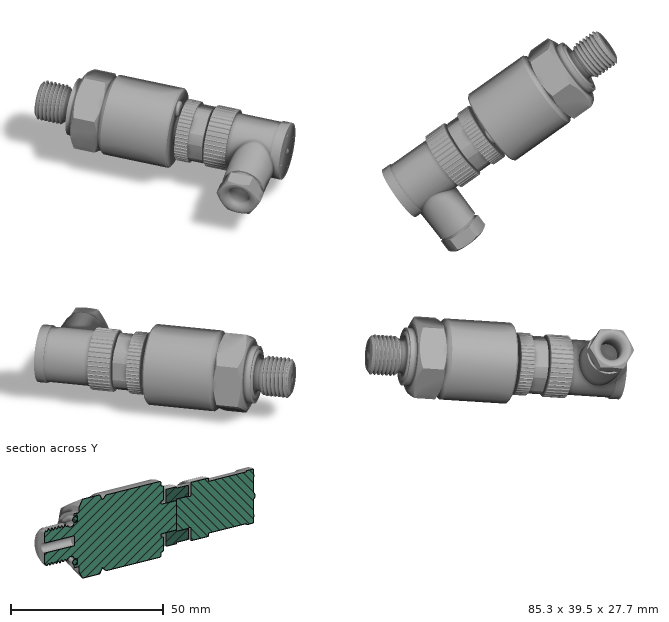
import cadquery as cq
import math


THREAD_MAJOR_D = 13.157
THREAD_MINOR_D = 11.445
THREAD_PITCH = 1.337
THREAD_CREST_WIDTH = 0.2
THREAD_FLANK_HALF_ANGLE = 27.5
THREAD_GROOVE_OVERCUT = 0.1
THREAD_TIP_D = 10.74
THREAD_TIP_CHAMFER_LENGTH = 0.9
THREAD_FULL_END_X = 8.7
THREAD_GROOVE_X = 1.63
THREAD_LEAD_TURNS = 2
THREAD_RUN_OUT = 0.2
RELIEF_D = 10.5
RELIEF_X = 10.1
PORT_D = 3.3
PORT_DEPTH = 12.0

FLANGE_D = 19.0
FLANGE_X = 11.8
NECK_FILLET = 0.88
O_RING_CORD_D = 2.0
O_RING_MEAN_D = 14.9
O_RING_PROTRUSION = 0.5
O_RING_OUTER_D = O_RING_MEAN_D + O_RING_CORD_D
O_RING_INNER_D = O_RING_MEAN_D - O_RING_CORD_D

HEX_FLATS = 24.0
HEX_X = 13.95
HEX_END_X = 23.5
HEX_FRONT_FACE_D = 22.8
HEX_BACK_FACE_D = 23.8
HEX_CHAMFER_ANGLE = 30.0
CASE_D = 26.6
CASE_END_X = 47.2
CASE_FRONT_CHAMFER = (CASE_D - HEX_BACK_FACE_D) / 2
CASE_END_CHAMFER = 0.5
SCREW_HEAD_D = 5.4
SCREW_HEAD_HEIGHT = 1.1
SCREW_HEAD_ROUND = 0.8
SCREW_OFFSET = 8.85
CASE_NECK_D = 10.5

NUT_X = 49.1
NUT_KNURL_END_X = 53.45
NUT_END_X = 58.25
NUT_FLATS = 18.0
NUT_HEX_D = 19.0
NUT_RIDGES = 50

KNURL_TIP_D = 20.5
RIDGE_HEIGHT = 0.25
RIDGE_WIDTH = 0.5
KNURL_BASE_D = KNURL_TIP_D - 2 * RIDGE_HEIGHT

SPIGOT_D = 11.04
COLLAR_X = 59.1
COLLAR_END_X = 66.5
COLLAR_RIDGES = 40
ELBOW_D = 18.2
CAP_X = 81.5
CAP_END_X = 84.65
CAP_D = 19.0
CENTRE_DOME_D = 2.1
CENTRE_DOME_HEIGHT = 0.61
NUB_D = 0.8
NUB_HEIGHT = 0.25
NUB_OFFSET = 6.95
NUB_COUNT = 4

BRANCH_X = 75.7
BRANCH_D = 14.45
BRANCH_END_D = 14.1
BRANCH_TAPER_Y = -ELBOW_D / 2
BRANCH_END_Y = -20.15
GLAND_NECK_D = 12.9
GLAND_Y = -21.15
GLAND_END_Y = -26.15
GLAND_FLATS = 13.0
GLAND_FACE_D = 12.15
GLAND_MOUTH_D = 11.45
CABLE_HOLE_D = 7.0
CABLE_HOLE_DEPTH = 8.0


def corners(flats):
    """Across-corners size of a hexagon with the given across-flats size."""
    return flats / math.cos(math.radians(30))


def disc(diameter, start, end):
    """Cylinder on the X axis between two x positions."""
    return cq.Workplane("YZ").workplane(offset=start).circle(diameter / 2).extrude(end - start)


def hexagon(flats, start, end):
    """Hexagonal prism on the X axis with flats facing +Y and -Y."""
    prism = cq.Workplane("YZ").workplane(offset=start).polygon(6, corners(flats)).extrude(end - start)
    return prism.rotate((0, 0, 0), (1, 0, 0), 90)


def turned(profile):
    """Revolve a list of (x, radius) points about the X axis."""
    return cq.Workplane("XY").polyline(profile).close().revolve(360, (0, 0, 0), (1, 0, 0))


def dome(base_diameter, height, x, y=0, z=0):
    """Spherical cap standing on a plane at x, bulging toward +X."""
    radius = base_diameter / 2
    return (
        cq.Workplane("XY")
        .lineTo(0, radius)
        .threePointArc(cap_midpoint(radius, height), (height, 0))
        .close()
        .revolve(360, (0, 0, 0), (1, 0, 0))
        .translate((x, y, z))
    )


def cap_midpoint(radius, height):
    """A point halfway along the arc of a spherical cap, as (height, radius)."""
    sphere = (radius**2 + height**2) / (2 * height)
    half_angle = math.asin(radius / sphere) / 2
    return (height - sphere * (1 - math.cos(half_angle)), sphere * math.sin(half_angle))


def knurled_band(ridge_count, start, end):
    """Cylinder with evenly spaced triangular ridges running along X."""
    band = disc(KNURL_BASE_D, start, end)
    foot = math.sqrt((KNURL_BASE_D / 2) ** 2 - (RIDGE_WIDTH / 2) ** 2)
    ridge = (
        cq.Workplane("YZ")
        .workplane(offset=start)
        .moveTo(KNURL_BASE_D / 2 - 2 * RIDGE_HEIGHT, 0)
        .lineTo(foot, -RIDGE_WIDTH / 2)
        .lineTo(KNURL_TIP_D / 2, 0)
        .lineTo(foot, RIDGE_WIDTH / 2)
        .close()
        .extrude(end - start)
        .val()
    )
    ridges = [
        ridge.rotate(cq.Vector(0, 0, 0), cq.Vector(1, 0, 0), i * 360 / ridge_count)
        for i in range(ridge_count)
    ]
    return cq.Workplane(band.val().fuse(*ridges))


def threaded_stud():
    """Cylinder with a helical thread groove, a tip chamfer and a run-out cone."""
    minor_r = THREAD_MINOR_D / 2
    major_r = THREAD_MAJOR_D / 2
    flank_slope = math.tan(math.radians(THREAD_FLANK_HALF_ANGLE))
    mouth_half = (THREAD_PITCH - THREAD_CREST_WIDTH) / 2
    root_half = mouth_half - (major_r - minor_r) * flank_slope
    outer_half = mouth_half + THREAD_GROOVE_OVERCUT * flank_slope

    start = THREAD_GROOVE_X - THREAD_LEAD_TURNS * THREAD_PITCH
    length = RELIEF_X + THREAD_RUN_OUT - start
    helix = cq.Wire.makeHelix(THREAD_PITCH, length, minor_r)
    groove = (
        cq.Workplane("XZ")
        .polyline(
            [
                (minor_r, -root_half),
                (major_r + THREAD_GROOVE_OVERCUT, -outer_half),
                (major_r + THREAD_GROOVE_OVERCUT, outer_half),
                (minor_r, root_half),
            ]
        )
        .close()
        .sweep(cq.Workplane(helix), isFrenet=True)
        .rotate((0, 0, 0), (0, 1, 0), 90)
        .translate((start, 0, 0))
    )
    envelope = turned(
        [
            (0, 0),
            (0, THREAD_TIP_D / 2),
            (THREAD_TIP_CHAMFER_LENGTH, major_r),
            (THREAD_FULL_END_X, major_r),
            (RELIEF_X, RELIEF_D / 2),
            (RELIEF_X, 0),
        ]
    )
    return disc(THREAD_MAJOR_D, 0, RELIEF_X).cut(groove).intersect(envelope)


def filleted_neck():
    """Thread relief neck that sweeps out into the flange face in a concave quarter round."""
    neck_r = RELIEF_D / 2
    arc_step = NECK_FILLET * math.sin(math.radians(45))
    arc_start_x = FLANGE_X - NECK_FILLET
    return (
        cq.Workplane("XY")
        .moveTo(RELIEF_X, 0)
        .lineTo(RELIEF_X, neck_r)
        .lineTo(arc_start_x, neck_r)
        .threePointArc(
            (arc_start_x + arc_step, neck_r + NECK_FILLET - arc_step),
            (FLANGE_X, neck_r + NECK_FILLET),
        )
        .lineTo(FLANGE_X, 0)
        .close()
        .revolve(360, (0, 0, 0), (1, 0, 0))
    )


def housing_hexagon():
    """Spanner hexagon with corners chamfered at both ends."""
    corner_r = corners(HEX_FLATS) / 2
    slope = math.tan(math.radians(HEX_CHAMFER_ANGLE))
    front_r = HEX_FRONT_FACE_D / 2
    back_r = HEX_BACK_FACE_D / 2
    envelope = turned(
        [
            (HEX_X, 0),
            (HEX_X, front_r),
            (HEX_X + (corner_r - front_r) * slope, corner_r),
            (HEX_END_X - (corner_r - back_r) * slope, corner_r),
            (HEX_END_X, back_r),
            (HEX_END_X, 0),
        ]
    )
    return hexagon(HEX_FLATS, HEX_X, HEX_END_X).intersect(envelope)


def screw_head(z):
    """Rounded screw head on the rear face of the case."""
    return (
        disc(SCREW_HEAD_D, CASE_END_X, CASE_END_X + SCREW_HEAD_HEIGHT)
        .faces(">X")
        .edges()
        .fillet(SCREW_HEAD_ROUND)
        .translate((0, 0, z))
    )


def make_housing():
    case_r = CASE_D / 2
    case = turned(
        [
            (HEX_END_X, 0),
            (HEX_END_X, HEX_BACK_FACE_D / 2),
            (HEX_END_X + CASE_FRONT_CHAMFER, case_r),
            (CASE_END_X - CASE_END_CHAMFER, case_r),
            (CASE_END_X, case_r - CASE_END_CHAMFER),
            (CASE_END_X, 0),
        ]
    )
    seal_floor = FLANGE_X - O_RING_PROTRUSION + O_RING_CORD_D
    seal_groove = disc(O_RING_OUTER_D, FLANGE_X, seal_floor).cut(disc(O_RING_INNER_D, FLANGE_X, seal_floor))
    flange = disc(FLANGE_D, FLANGE_X, HEX_X).cut(seal_groove)
    housing = (
        threaded_stud()
        .union(filleted_neck())
        .union(flange)
        .union(housing_hexagon())
        .union(case)
        .union(disc(CASE_NECK_D, CASE_END_X, NUT_KNURL_END_X))
    )
    for z in (-SCREW_OFFSET, SCREW_OFFSET):
        housing = housing.union(screw_head(z))
    return housing.cut(disc(PORT_D, 0, PORT_DEPTH))


def make_o_ring():
    centre_x = FLANGE_X - O_RING_PROTRUSION + O_RING_CORD_D / 2
    return (
        cq.Workplane("XY")
        .center(centre_x, O_RING_MEAN_D / 2)
        .circle(O_RING_CORD_D / 2)
        .revolve(360, (0, -O_RING_MEAN_D / 2, 0), (1, -O_RING_MEAN_D / 2, 0))
    )


def make_coupling_nut():
    """Knurled band and rounded hexagon, bored for the housing neck and the elbow spigot."""
    spanner_part = hexagon(NUT_FLATS, NUT_KNURL_END_X, NUT_END_X).intersect(
        disc(NUT_HEX_D, NUT_KNURL_END_X, NUT_END_X)
    )
    return (
        knurled_band(NUT_RIDGES, NUT_X, NUT_KNURL_END_X)
        .union(spanner_part)
        .cut(disc(CASE_NECK_D, NUT_X, NUT_KNURL_END_X))
        .cut(disc(SPIGOT_D, NUT_KNURL_END_X, NUT_END_X))
    )


def turned_branch(profile):
    """Revolve a closed (radius, y) sketch about the branch axis."""
    return profile.close().revolve(360, (0, 0, 0), (0, 1, 0)).translate((BRANCH_X, 0, 0))


def cable_branch():
    """Slightly tapered arm with a necked-in end."""
    return turned_branch(
        cq.Workplane("XY").polyline(
            [
                (0, 0),
                (BRANCH_D / 2, 0),
                (BRANCH_D / 2, BRANCH_TAPER_Y),
                (BRANCH_END_D / 2, BRANCH_END_Y),
                (GLAND_NECK_D / 2, BRANCH_END_Y),
                (GLAND_NECK_D / 2, GLAND_Y),
                (0, GLAND_Y),
            ]
        )
    )


def gland_head():
    """Hexagonal gland head with a chamfered outer end."""
    corner_r = corners(GLAND_FLATS) / 2
    face_r = GLAND_FACE_D / 2
    chamfer_length = (corner_r - face_r) * math.tan(math.radians(HEX_CHAMFER_ANGLE))
    prism = (
        cq.Workplane("XZ", origin=(BRANCH_X, GLAND_Y, 0))
        .polygon(6, 2 * corner_r)
        .extrude(GLAND_Y - GLAND_END_Y)
    )
    envelope = turned_branch(
        cq.Workplane("XY").polyline(
            [
                (0, GLAND_Y),
                (corner_r, GLAND_Y),
                (corner_r, GLAND_END_Y + chamfer_length),
                (face_r, GLAND_END_Y),
                (0, GLAND_END_Y),
            ]
        )
    )
    return prism.intersect(envelope)


def cable_hole():
    """Blind cable hole with a rounded, trumpet-shaped mouth."""
    hole_r = CABLE_HOLE_D / 2
    mouth_r = GLAND_MOUTH_D / 2
    round_r = mouth_r - hole_r
    arc_step = round_r * math.sin(math.radians(45))
    arc_middle = (mouth_r - arc_step, GLAND_END_Y + round_r - arc_step)
    return turned_branch(
        cq.Workplane("XY")
        .moveTo(0, GLAND_END_Y)
        .lineTo(mouth_r, GLAND_END_Y)
        .threePointArc(arc_middle, (hole_r, GLAND_END_Y + round_r))
        .lineTo(hole_r, GLAND_END_Y + CABLE_HOLE_DEPTH)
        .lineTo(0, GLAND_END_Y + CABLE_HOLE_DEPTH)
    )


def make_elbow():
    elbow = (
        disc(SPIGOT_D, NUT_KNURL_END_X, COLLAR_X)
        .union(knurled_band(COLLAR_RIDGES, COLLAR_X, COLLAR_END_X))
        .union(disc(ELBOW_D, COLLAR_END_X, CAP_X))
        .union(disc(CAP_D, CAP_X, CAP_END_X))
        .union(cable_branch())
        .union(gland_head())
        .cut(cable_hole())
        .union(dome(CENTRE_DOME_D, CENTRE_DOME_HEIGHT, CAP_END_X))
    )
    for i in range(NUB_COUNT):
        angle = 2 * math.pi * i / NUB_COUNT
        nub = dome(NUB_D, NUB_HEIGHT, CAP_END_X, NUB_OFFSET * math.cos(angle), NUB_OFFSET * math.sin(angle))
        elbow = elbow.union(nub)
    return elbow


housing = make_housing()
o_ring = make_o_ring()
coupling_nut = make_coupling_nut()
elbow = make_elbow()

result = cq.Compound.makeCompound([housing.val(), o_ring.val(), coupling_nut.val(), elbow.val()])